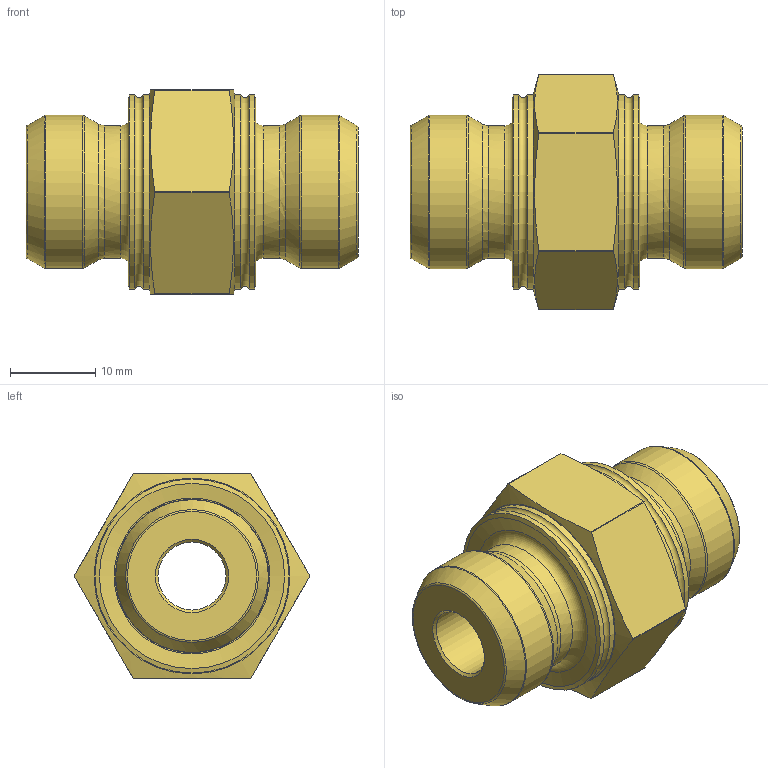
import cadquery as cq
import math

HALF_LENGTH = 19.5
BORE_DIAMETER = 8.0
BORE_CHAMFER = 0.3

HEX_ACROSS_FLATS = 24.0
HEX_HALF_WIDTH = 5.0
HEX_EDGE_RADIUS = 0.1
HEX_CHAMFER_ANGLE = math.radians(15)
HEX_FACE_RADIUS = 11.5

COLLAR_RADIUS = 22.8 / 2
COLLAR_FACE = 7.5
CREST_RADIUS = 10.87
CREST_ANGLE = math.radians(15)
RECESS_ANGLE = math.radians(9)
RECESS_FILLET = 1.17
GROOVE_CENTRE = 6.225
GROOVE_WIDTH = 0.95
GROOVE_DEPTH = 0.34

STUD_RADIUS = 18.0 / 2
STUD_LENGTH = 6.75
NECK_RADIUS = 15.6 / 2
TAPER_ANGLE = math.radians(30)
END_CHAMFER_LENGTH = 2.2
END_ROUNDING = 0.25
STUD_ROUNDING = 0.5
NECK_FILLET = 1.4
NECK_START = HALF_LENGTH - STUD_LENGTH
NECK_END = NECK_START - (STUD_RADIUS - NECK_RADIUS) / math.tan(TAPER_ANGLE)
END_RADIUS = STUD_RADIUS - END_CHAMFER_LENGTH * math.tan(TAPER_ANGLE)


def stud_profile():
    """Closed half section (X, radius) of the stud and collar on the +X side."""
    ring_start = COLLAR_FACE - (COLLAR_RADIUS - CREST_RADIUS) * math.tan(CREST_ANGLE)

    fillet_top = NECK_RADIUS + RECESS_FILLET * (1 + math.sin(RECESS_ANGLE))
    fillet_top_x = COLLAR_FACE - (CREST_RADIUS - fillet_top) * math.tan(RECESS_ANGLE)
    fillet_centre_x = fillet_top_x + RECESS_FILLET * math.cos(RECESS_ANGLE)
    fillet_centre_radius = NECK_RADIUS + RECESS_FILLET
    mid_angle = (math.pi / 2 - RECESS_ANGLE) / 2
    fillet_mid = (
        fillet_centre_x - RECESS_FILLET * math.cos(mid_angle),
        fillet_centre_radius - RECESS_FILLET * math.sin(mid_angle),
    )

    return (
        cq.Workplane("XY")
        .moveTo(0, 0)
        .lineTo(HALF_LENGTH, 0)
        .lineTo(HALF_LENGTH, END_RADIUS)
        .lineTo(HALF_LENGTH - END_CHAMFER_LENGTH, STUD_RADIUS)
        .lineTo(NECK_START, STUD_RADIUS)
        .lineTo(NECK_END, NECK_RADIUS)
        .lineTo(fillet_centre_x, NECK_RADIUS)
        .threePointArc(fillet_mid, (fillet_top_x, fillet_top))
        .lineTo(COLLAR_FACE, CREST_RADIUS)
        .lineTo(ring_start, COLLAR_RADIUS)
        .lineTo(GROOVE_CENTRE + GROOVE_WIDTH / 2, COLLAR_RADIUS)
        .threePointArc(
            (GROOVE_CENTRE, COLLAR_RADIUS - GROOVE_DEPTH),
            (GROOVE_CENTRE - GROOVE_WIDTH / 2, COLLAR_RADIUS),
        )
        .lineTo(0, COLLAR_RADIUS)
        .close()
    )


def circle_edges_at(body, x, radius):
    """Circular edges of body with the given X position and radius."""
    tolerance = 1e-4
    return [
        edge
        for edge in body.edges("%CIRCLE").vals()
        if abs(edge.Center().x - x) < tolerance and abs(edge.radius() - radius) < tolerance
    ]


def round_edge(body, x, radius, rounding):
    """Round the circular edge of body at the given X position and radius."""
    return body.newObject(circle_edges_at(body, x, radius)).fillet(rounding)


def make_stud():
    """Stud end with collar, on the +X side."""
    stud = stud_profile().revolve(360, (0, 0, 0), (1, 0, 0))
    stud = round_edge(stud, HALF_LENGTH, END_RADIUS, END_ROUNDING)
    stud = round_edge(stud, HALF_LENGTH - END_CHAMFER_LENGTH, STUD_RADIUS, END_ROUNDING)
    stud = round_edge(stud, NECK_START, STUD_RADIUS, STUD_ROUNDING)
    return round_edge(stud, NECK_END, NECK_RADIUS, NECK_FILLET)


def make_hexagon():
    """Hexagon with flats facing +Z and -Z and conical chamfers on both faces."""
    across_corners = HEX_ACROSS_FLATS / math.cos(math.pi / 6)
    hexagon = (
        cq.Workplane("YZ")
        .polygon(6, across_corners)
        .extrude(HEX_HALF_WIDTH, both=True)
        .edges("|X")
        .fillet(HEX_EDGE_RADIUS)
    )

    middle_radius = HEX_FACE_RADIUS + HEX_HALF_WIDTH / math.tan(HEX_CHAMFER_ANGLE)
    double_cone = (
        cq.Workplane("XY")
        .polyline([
            (-HEX_HALF_WIDTH, 0),
            (-HEX_HALF_WIDTH, HEX_FACE_RADIUS),
            (0, middle_radius),
            (HEX_HALF_WIDTH, HEX_FACE_RADIUS),
            (HEX_HALF_WIDTH, 0),
        ])
        .close()
        .revolve(360, (0, 0, 0), (1, 0, 0))
    )
    return hexagon.intersect(double_cone)


def make_bore():
    """Through bore with a chamfer at both mouths, as a cutting body."""
    radius = BORE_DIAMETER / 2
    mouth_radius = radius + BORE_CHAMFER
    return (
        cq.Workplane("XY")
        .polyline([
            (-HALF_LENGTH, 0),
            (-HALF_LENGTH, mouth_radius),
            (-HALF_LENGTH + BORE_CHAMFER, radius),
            (HALF_LENGTH - BORE_CHAMFER, radius),
            (HALF_LENGTH, mouth_radius),
            (HALF_LENGTH, 0),
        ])
        .close()
        .revolve(360, (0, 0, 0), (1, 0, 0))
    )


stud = make_stud()
result = make_hexagon().union(stud).union(stud.mirror("YZ")).cut(make_bore())